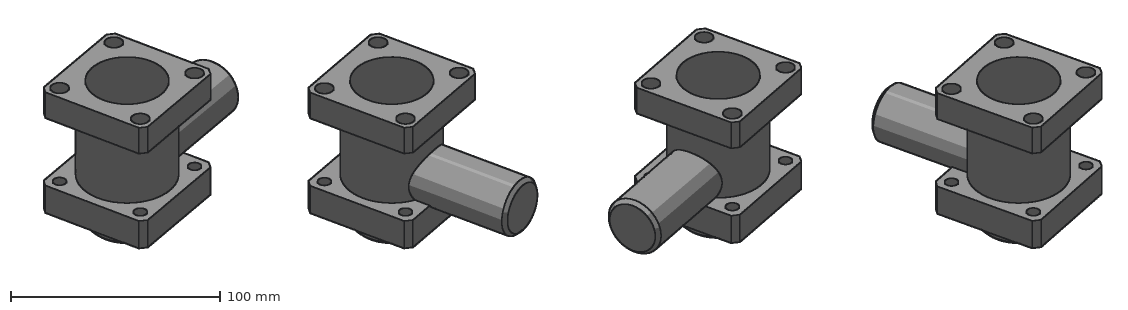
import cadquery as cq

flange_side = 60.0
flange_corner_chamfer = 3.0
top_flange_height = 15.0
bottom_flange_height = 16.0
barrel_diameter = 49.5
barrel_height = 39.1
spigot_diameter = 40.0
spigot_height = 12.0
end_chamfer = 2.0

bore_diameter = 40.0
outlet_diameter = 20.0

hole_spacing = 46.5
top_hole_diameter = 9.0
bottom_hole_diameter = 6.6

arm_diameter = 30.0
arm_axis_z = 36.5
overall_length = 105.0

barrel_base_z = spigot_height + bottom_flange_height
top_flange_z = barrel_base_z + barrel_height
total_height = top_flange_z + top_flange_height
arm_end_y = overall_length - flange_side / 2


def flange(base_z, height, hole_diameter):
    """Square plate with chamfered corners and four through holes."""
    plate = cq.Workplane("XY").workplane(offset=base_z).rect(flange_side, flange_side).extrude(height)
    plate = plate.edges("|Z").chamfer(flange_corner_chamfer)
    holes = (
        cq.Workplane("XY")
        .workplane(offset=base_z)
        .rect(hole_spacing, hole_spacing, forConstruction=True)
        .vertices()
        .circle(hole_diameter / 2)
        .extrude(height)
    )
    return plate.cut(holes)


def cylinder(diameter, base_z, top_z):
    """Solid cylinder on the body axis."""
    return cq.Workplane("XY").workplane(offset=base_z).circle(diameter / 2).extrude(top_z - base_z)


arm = (
    cq.Workplane("XZ", origin=(0, 0, arm_axis_z))
    .circle(arm_diameter / 2)
    .extrude(-arm_end_y)
    .faces(">Y")
    .chamfer(end_chamfer)
)

spigot = cylinder(spigot_diameter, 0, spigot_height).faces("<Z").chamfer(end_chamfer)
barrel = cylinder(barrel_diameter, barrel_base_z, top_flange_z)
bottom_flange = flange(spigot_height, bottom_flange_height, bottom_hole_diameter)
top_flange = flange(top_flange_z, top_flange_height, top_hole_diameter)

bore = cylinder(bore_diameter, barrel_base_z, total_height)
outlet = cylinder(outlet_diameter, 0, barrel_base_z)

result = spigot.union(bottom_flange).union(barrel).union(top_flange).union(arm).cut(bore).cut(outlet)